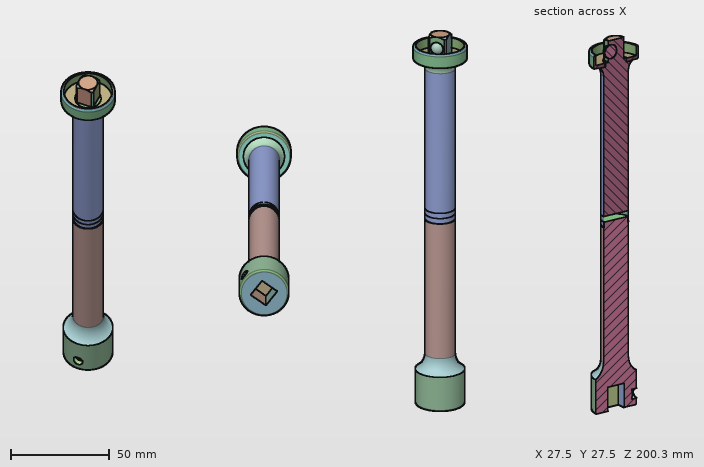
import cadquery as cq
import math

total_length = 200.3
shaft_radius = 7.8
joint_height = total_length / 2

drive_width = 9.6

socket_radius = 12.6
socket_shoulder_height = 18.8
socket_flare_top = 27.2
socket_edge_fillet = 1.0
socket_depth = 13.0
detent_hole_diameter = 5.0
detent_hole_height = 6.2
detent_hole_depth = 2.5
detent_hole_dome_radius = 6.8

spigot_radius = 7.5
spigot_length = 2.8
joint_bore_depth = 5.6

ring_diameter = 27.5
ring_radius = ring_diameter / 2
ring_inner_radius = 12.2
ring_bottom = 186.7
ring_top = 194.0
ring_floor_thickness = 2.0
ring_edge_fillet = 0.8

neck_radius = 6.6
drive_flare_bottom = 181.9
drive_flare_radius = 10.5
drive_corner_radius = 6.2
drive_tip_radius = drive_width / 2
drive_tip_chamfer_height = 1.0

ball_radius = 3.6
ball_offset = 3.5
ball_height = 194.0


def tangent_flare_mid(start_radius, end_radius, height):
    """Half-way point of an arc that leaves a shaft tangentially, as (radius, axial offset)."""
    spread = end_radius - start_radius
    arc_radius = (height**2 + spread**2) / (2 * spread)
    half_angle = math.asin(height / arc_radius) / 2
    return start_radius + arc_radius * (1 - math.cos(half_angle)), arc_radius * math.sin(half_angle)


def revolve_profile(profile):
    """Revolve a closed (radius, height) profile about the Z axis."""
    return profile.close().revolve(360, (0, 0, 0), (0, 1, 0))


def make_detent_hole():
    """Cutter for the blind hole in the -Y side of the socket, whose floor bulges outward."""
    dome_center = (0, detent_hole_depth + detent_hole_dome_radius - socket_radius, detent_hole_height)
    dome = cq.Workplane("XY").sphere(detent_hole_dome_radius).translate(dome_center)
    hole = (
        cq.Workplane("XZ", origin=dome_center)
        .circle(detent_hole_diameter / 2)
        .extrude(socket_radius)
    )
    return hole.cut(dome)


def make_socket_shaft():
    """Lower shaft: square socket at the bottom and a joint spigot on top."""
    flare_height = socket_flare_top - socket_shoulder_height
    mid_radius, mid_drop = tangent_flare_mid(shaft_radius, socket_radius, flare_height)
    profile = (
        cq.Workplane("XZ")
        .lineTo(socket_radius, 0)
        .lineTo(socket_radius, socket_shoulder_height)
        .threePointArc((mid_radius, socket_flare_top - mid_drop), (shaft_radius, socket_flare_top))
        .lineTo(shaft_radius, joint_height)
        .lineTo(spigot_radius, joint_height)
        .lineTo(spigot_radius, joint_height + spigot_length)
        .lineTo(0, joint_height + spigot_length)
    )
    shaft = revolve_profile(profile).faces("<Z").edges().fillet(socket_edge_fillet)
    cavity = cq.Workplane("XY").rect(drive_width, drive_width).extrude(socket_depth)
    return shaft.cut(cavity).cut(make_detent_hole())


def make_ball():
    """Detent ball that stands out of the +Y side of the square drive."""
    return cq.Workplane("XY").sphere(ball_radius).translate((0, ball_offset, ball_height))


def make_drive_shaft():
    """Upper shaft: joint bore at the bottom, flare, neck and square drive with a ball seat on top."""
    flare_height = ring_bottom - drive_flare_bottom
    mid_radius, mid_rise = tangent_flare_mid(shaft_radius, drive_flare_radius, flare_height)
    neck_top = ring_bottom + ring_floor_thickness
    profile = (
        cq.Workplane("XZ")
        .moveTo(0, joint_height + joint_bore_depth)
        .lineTo(spigot_radius, joint_height + joint_bore_depth)
        .lineTo(spigot_radius, joint_height)
        .lineTo(shaft_radius, joint_height)
        .lineTo(shaft_radius, drive_flare_bottom)
        .threePointArc((mid_radius, drive_flare_bottom + mid_rise), (drive_flare_radius, ring_bottom))
        .lineTo(neck_radius, ring_bottom)
        .lineTo(neck_radius, neck_top)
        .lineTo(0, neck_top)
    )
    envelope = revolve_profile(
        cq.Workplane("XZ")
        .moveTo(0, neck_top)
        .lineTo(drive_corner_radius, neck_top)
        .lineTo(drive_corner_radius, total_length - drive_tip_chamfer_height)
        .lineTo(drive_tip_radius, total_length)
        .lineTo(0, total_length)
    )
    square = (
        cq.Workplane("XY", origin=(0, 0, neck_top))
        .rect(drive_width, drive_width)
        .extrude(total_length - neck_top)
        .intersect(envelope)
    )
    return revolve_profile(profile).union(square).cut(make_ball())


def make_ring():
    """Cup-shaped locking ring whose floor fits around the neck."""
    floor_top = ring_bottom + ring_floor_thickness
    profile = (
        cq.Workplane("YZ")
        .moveTo(neck_radius, ring_bottom)
        .lineTo(ring_radius, ring_bottom)
        .lineTo(ring_radius, ring_top)
        .lineTo(ring_inner_radius, ring_top)
        .lineTo(ring_inner_radius, floor_top)
        .lineTo(neck_radius, floor_top)
    )
    outer_edges = cq.selectors.RadiusNthSelector(-1)
    return revolve_profile(profile).edges(outer_edges).fillet(ring_edge_fillet)


socket_shaft = make_socket_shaft()
drive_shaft = make_drive_shaft()
ring = make_ring()
ball = make_ball()
result = cq.Compound.makeCompound([socket_shaft.val(), drive_shaft.val(), ring.val(), ball.val()])